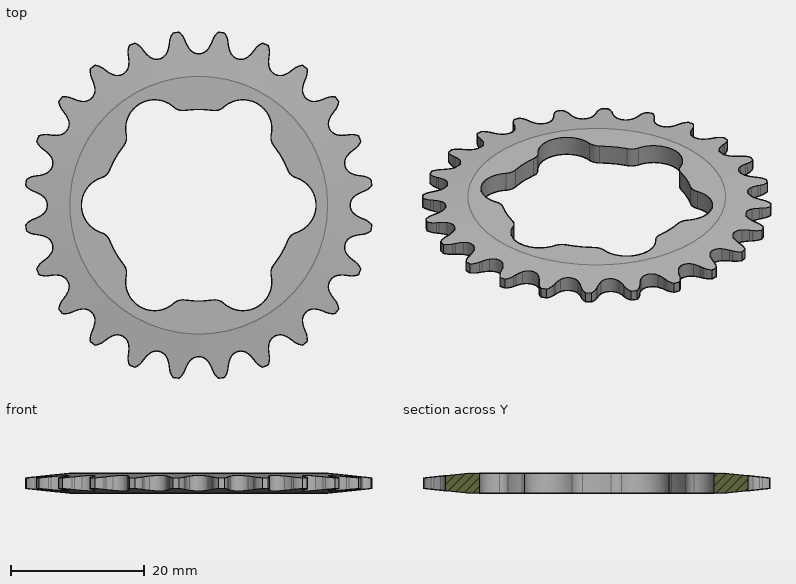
import cadquery as cq
import math

INCH = 25.4

TEETH = 24
PITCH = 6.35
ROLLER = 3.302

THICKNESS = 3.0
FLAT_RADIUS = 19.25
TAPER_ANGLE = 6.0

BORE_RADIUS = 1.125 * INCH / 2
LOBES = 6
LOBE_RADIUS = 4.3
LOBE_CENTRE_RADIUS = 13.2
LOBE_FILLET = 2.0

CUTTER_HEIGHT = 2 * THICKNESS
CUTTER_MARGIN = 1.0

HALF_TOOTH = math.pi / TEETH
PITCH_RADIUS = PITCH / 2 / math.sin(HALF_TOOTH)
OUTSIDE_RADIUS = PITCH / 2 * (0.6 + 1 / math.tan(HALF_TOOTH))
SEAT_RADIUS = (1.005 * ROLLER + 0.003 * INCH) / 2
SEAT_ANGLE = math.radians(35 + 60 / TEETH)
FLANK_SWEEP = math.radians(18 - 56 / TEETH)
FLANK_OFFSET = 0.8 * ROLLER
FLANK_RADIUS = FLANK_OFFSET + SEAT_RADIUS
TOP_OFFSET = 1.4 * ROLLER
TOP_SLOPE = math.radians(17 - 64 / TEETH)
STRAIGHT_LENGTH = TOP_OFFSET * math.sin(TOP_SLOPE) - FLANK_OFFSET * math.sin(FLANK_SWEEP)


def polar(radius, angle, centre=(0, 0)):
    """Point at a radius and angle (radians) around a centre."""
    x = centre[0] + radius * math.cos(angle)
    y = centre[1] + radius * math.sin(angle)
    return x, y


def direction(start, end):
    """Angle from one point to another, from 0 to a full turn."""
    return math.atan2(end[1] - start[1], end[0] - start[0]) % (2 * math.pi)


def mirrored(point):
    """Point reflected across the Y axis."""
    return -point[0], point[1]


def tooth_gap():
    """Cutter for the gap between two teeth, centred on +Y."""
    roller = (0, PITCH_RADIUS)
    seat_root = polar(SEAT_RADIUS, -math.pi / 2, roller)
    seat_end = polar(SEAT_RADIUS, -SEAT_ANGLE, roller)
    flank_centre = polar(FLANK_OFFSET, math.pi - SEAT_ANGLE, roller)
    flank_angle = FLANK_SWEEP - SEAT_ANGLE
    flank_mid = polar(FLANK_RADIUS, flank_angle - FLANK_SWEEP / 2, flank_centre)
    flank_end = polar(FLANK_RADIUS, flank_angle, flank_centre)

    straight_end = polar(STRAIGHT_LENGTH, flank_angle + math.pi / 2, flank_end)
    top_centre = polar(TOP_OFFSET, -HALF_TOOTH, roller)
    top_radius = math.dist(top_centre, straight_end)

    top_distance = math.hypot(*top_centre)
    tip_cosine = top_distance**2 + OUTSIDE_RADIUS**2 - top_radius**2
    tip_cosine /= 2 * top_distance * OUTSIDE_RADIUS
    tip = polar(OUTSIDE_RADIUS, direction((0, 0), top_centre) + math.acos(tip_cosine))
    top_mid_angle = (direction(top_centre, straight_end) + direction(top_centre, tip)) / 2
    top_mid = polar(top_radius, top_mid_angle, top_centre)

    outer_corner = (tip[0], OUTSIDE_RADIUS + CUTTER_MARGIN)
    return (
        cq.Workplane("XY", origin=(0, 0, -CUTTER_HEIGHT / 2))
        .moveTo(*mirrored(seat_end))
        .threePointArc(seat_root, seat_end)
        .threePointArc(flank_mid, flank_end)
        .lineTo(*straight_end)
        .threePointArc(top_mid, tip)
        .lineTo(*outer_corner)
        .lineTo(*mirrored(outer_corner))
        .lineTo(*mirrored(tip))
        .threePointArc(mirrored(top_mid), mirrored(straight_end))
        .lineTo(*mirrored(flank_end))
        .threePointArc(mirrored(flank_mid), mirrored(seat_end))
        .close()
        .extrude(CUTTER_HEIGHT)
    )


def blank():
    """Disc with a flat hub and a conical taper on both faces."""
    hub_z = THICKNESS / 2
    rim_z = hub_z - (OUTSIDE_RADIUS - FLAT_RADIUS) * math.tan(math.radians(TAPER_ANGLE))
    return (
        cq.Workplane("XZ")
        .moveTo(0, -hub_z)
        .lineTo(FLAT_RADIUS, -hub_z)
        .lineTo(OUTSIDE_RADIUS, -rim_z)
        .lineTo(OUTSIDE_RADIUS, rim_z)
        .lineTo(FLAT_RADIUS, hub_z)
        .lineTo(0, hub_z)
        .close()
        .revolve(360, (0, 0, 0), (0, 1, 0))
    )


def lobed_bore():
    """Cutter for the round bore and its lobes, with rounded corners between them."""
    base = cq.Workplane("XY", origin=(0, 0, -CUTTER_HEIGHT / 2))
    bore = base.circle(BORE_RADIUS).extrude(CUTTER_HEIGHT)
    lobe_places = base.polarArray(LOBE_CENTRE_RADIUS, 0, 360, LOBES)
    lobes = lobe_places.circle(LOBE_RADIUS).extrude(CUTTER_HEIGHT)
    return bore.union(lobes).edges("|Z").fillet(LOBE_FILLET)


def cut_teeth(disc):
    """Cut one gap per tooth around the rim."""
    gap = tooth_gap()
    for index in range(TEETH):
        disc = disc.cut(gap.rotate((0, 0, 0), (0, 0, 1), index * 360 / TEETH))
    return disc


result = cut_teeth(blank().cut(lobed_bore()))